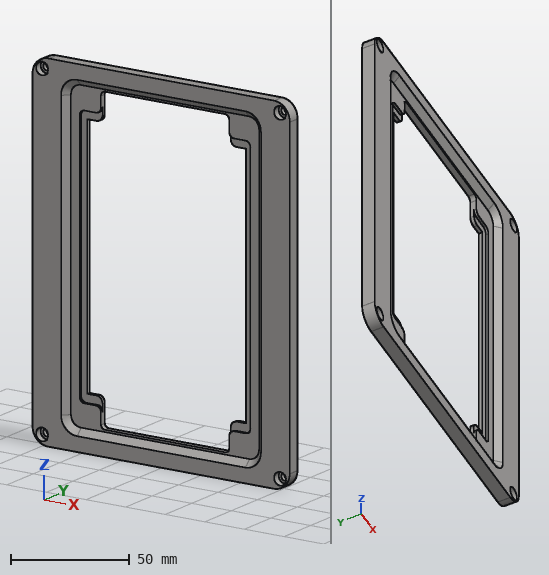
import cadquery as cq

WIDTH = 130.0
HEIGHT = 170.0
THICKNESS = 6.0
CORNER_RADIUS = 8.0
FRONT_Y = -THICKNESS / 2

POCKET_WIDTH = 101.0
POCKET_HEIGHT = 156.0
POCKET_RADIUS = CORNER_RADIUS
POCKET_DEPTH = 3.0
FLOOR_Y = FRONT_Y + POCKET_DEPTH

TALL_WIDTH = 64.7
TALL_HEIGHT = 148.0
TALL_RADIUS = 2.0
WIDE_WIDTH = 80.0
WIDE_HEIGHT = 120.2
WINDOW_NOTCH_RADIUS = 3.0

STEP_WIDTH = 86.2
STEP_HEIGHT = 128.2
STEP_DEPTH = 1.2
STEP_RADIUS = 2.5

HOLE_DIAMETER = 3.4
BORE_DIAMETER = 6.0
BORE_DEPTH = 3.5
HOLE_INSET = 4.9
HOLE_SPACING_X = WIDTH - 2 * HOLE_INSET
HOLE_SPACING_Z = HEIGHT - 2 * HOLE_INSET

SELECT_MARGIN = 1.0


def face_plane(y):
    """Plane parallel to the front face at the given Y; its normal points to -Y."""
    return cq.Workplane("XZ", origin=(0, y, 0))


def block(width, height, y, depth):
    """Centred rectangular block running from y towards +Y."""
    return face_plane(y).rect(width, height).extrude(-depth)


def plate():
    return block(WIDTH, HEIGHT, FRONT_Y, THICKNESS).edges("|Y").fillet(CORNER_RADIUS)


def pocket():
    """Round-cornered block whose rear edge is bevelled over its whole depth."""
    straight = block(POCKET_WIDTH, POCKET_HEIGHT, FRONT_Y, 2 * POCKET_DEPTH)
    rounded = straight.edges("|Y").fillet(POCKET_RADIUS)
    bevelled = rounded.faces(">Y").chamfer(POCKET_DEPTH)
    return bevelled.translate((0, -POCKET_DEPTH, 0))


def cross(wide_width, wide_height, y, depth, notch_radius):
    """Tall opening crossed by a wide one, with rounded re-entrant corners."""
    tall = block(TALL_WIDTH, TALL_HEIGHT, y, depth)
    wide = block(wide_width, wide_height, y, depth)
    notch_corners = cq.selectors.BoxSelector(
        (-TALL_WIDTH / 2 - SELECT_MARGIN, y, -wide_height / 2 - SELECT_MARGIN),
        (TALL_WIDTH / 2 + SELECT_MARGIN, y + depth, wide_height / 2 + SELECT_MARGIN),
    )
    outline = tall.union(wide)
    outline = outline.edges("|Y").edges(notch_corners).fillet(notch_radius)
    return outline.edges("|Y and (>Z or <Z)").fillet(TALL_RADIUS)


def window():
    depth = THICKNESS - POCKET_DEPTH
    return cross(WIDE_WIDTH, WIDE_HEIGHT, FLOOR_Y, depth, WINDOW_NOTCH_RADIUS)


def step():
    outline = cross(STEP_WIDTH, STEP_HEIGHT, FLOOR_Y, STEP_DEPTH, STEP_RADIUS)
    return outline.edges("|Y and (>X or <X)").fillet(STEP_RADIUS)


def corner_holes(diameter, depth):
    pattern = face_plane(FRONT_Y).rect(HOLE_SPACING_X, HOLE_SPACING_Z, forConstruction=True)
    return pattern.vertices().circle(diameter / 2).extrude(-depth)


result = plate()
for cutter in (
    pocket(),
    window(),
    step(),
    corner_holes(HOLE_DIAMETER, THICKNESS),
    corner_holes(BORE_DIAMETER, BORE_DEPTH),
):
    result = result.cut(cutter)